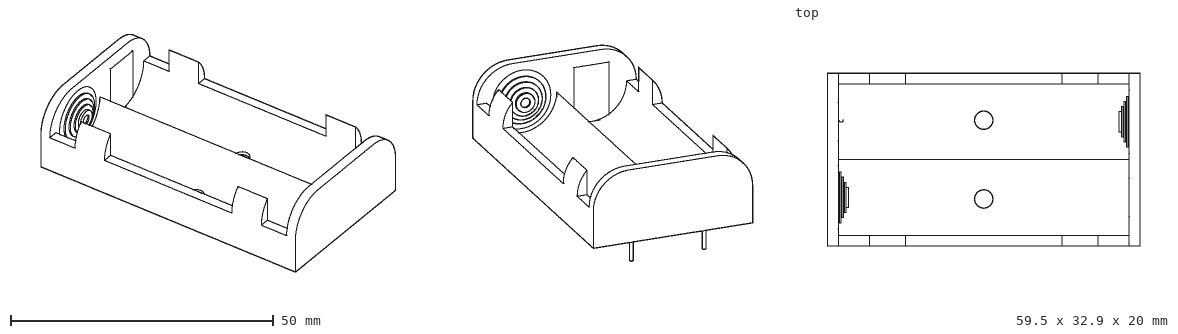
import cadquery as cq

LENGTH = 59.5
WIDTH = 32.9
HEIGHT = 15.0
FLOOR = 0.5
END_WALL = 2.1
SIDE_WALL = 2.0
INNER_HALF_LENGTH = LENGTH / 2 - END_WALL
INNER_HALF_WIDTH = WIDTH / 2 - SIDE_WALL
BAY_RADIUS = INNER_HALF_WIDTH / 2
BAY_Y = BAY_RADIUS
DECK_Z = FLOOR + BAY_RADIUS
CORNER_RADIUS = HEIGHT - DECK_Z

CLIP_LENGTH = 6.9
CLIP_X = 18.3

HOLE_DIAMETER = 3.45
HOLE_Y = 7.5
PIN_DIAMETER = 0.8
PIN_LENGTH = 5.0
PIN_SOCKET = 0.3
PIN_CHAMFER = 0.2
PIN_X = -27.15

LARGEST_DISC = 9.65
RING_STEP = LARGEST_DISC / 5
SPRING_Z = 7.3
BASE_DIAMETER = 12.0
DISC_DIAMETERS = [LARGEST_DISC - index * RING_STEP for index in range(4)]
CORE_DIAMETER = DISC_DIAMETERS[-1]
BORE_DIAMETER = RING_STEP
DISC_THICKNESS = 0.3
DISC_GAP = 0.19
DISC_PITCH = DISC_THICKNESS + DISC_GAP
CORE_LENGTH = len(DISC_DIAMETERS) * DISC_PITCH

CONTACT_WIDTH = 7.25
CONTACT_TOP = 12.15
CONTACT_HEIGHT = CONTACT_TOP - FLOOR
INSET_DEPTH = 0.5

ENDS = (-1, 1)
SIDES = (-1, 1)


def rounded_section(length, x):
    """A length of the end-wall outline, centred at x."""
    return (
        cq.Workplane("XY")
        .box(length, WIDTH, HEIGHT, centered=(True, True, False))
        .edges("|X and >Z")
        .fillet(CORNER_RADIUS)
        .translate((x, 0, 0))
    )


def make_spring(end):
    """A spring on one end wall, pointing to the middle of the holder."""

    def disc(diameter, start, thickness):
        return cq.Workplane("YZ").workplane(offset=start).circle(diameter / 2).extrude(thickness)

    spring = disc(BASE_DIAMETER, -INSET_DEPTH, INSET_DEPTH)
    spring = spring.union(disc(CORE_DIAMETER, 0, CORE_LENGTH))
    for index, diameter in enumerate(DISC_DIAMETERS):
        start = index * DISC_PITCH + DISC_GAP
        spring = spring.union(disc(diameter, start, DISC_THICKNESS))
    spring = spring.cut(disc(BORE_DIAMETER, CORE_LENGTH - DISC_THICKNESS, DISC_THICKNESS))
    if end > 0:
        spring = spring.rotate((0, 0, 0), (0, 0, 1), 180)
    return spring.translate((end * INNER_HALF_LENGTH, end * BAY_Y, SPRING_Z))


def make_contact(end):
    """A flat contact plate in the end wall of the bay beside the spring."""
    return (
        cq.Workplane("XY")
        .box(INSET_DEPTH, CONTACT_WIDTH, CONTACT_HEIGHT, centered=(True, True, False))
        .translate((end * (INNER_HALF_LENGTH + INSET_DEPTH / 2), -end * BAY_Y, FLOOR))
    )


def make_pin(y):
    """A solder pin with a chamfered tip, its top end in a floor socket."""
    return (
        cq.Workplane("XY")
        .circle(PIN_DIAMETER / 2)
        .extrude(PIN_LENGTH + PIN_SOCKET)
        .faces("<Z")
        .chamfer(PIN_CHAMFER)
        .translate((PIN_X, y, -PIN_LENGTH))
    )


def clip_pair(x):
    """Opposite clips: the end-wall outline kept only above the two side walls."""
    between_walls = cq.Workplane("XY").box(LENGTH, 2 * INNER_HALF_WIDTH, 2 * HEIGHT)
    below_deck = cq.Workplane("XY").box(LENGTH, WIDTH, 2 * DECK_Z)
    return rounded_section(CLIP_LENGTH, x).cut(between_walls).cut(below_deck)


def make_cavity():
    """The space between the end walls: open above the deck, with two round bays below."""
    cavity = (
        cq.Workplane("XY")
        .box(2 * INNER_HALF_LENGTH, WIDTH, HEIGHT, centered=(True, True, False))
        .translate((0, 0, DECK_Z))
    )
    for side in SIDES:
        bay = (
            cq.Workplane("YZ")
            .workplane(offset=-INNER_HALF_LENGTH)
            .center(side * BAY_Y, DECK_Z)
            .circle(BAY_RADIUS)
            .extrude(2 * INNER_HALF_LENGTH)
        )
        cavity = cavity.union(bay)
    return cavity


def make_housing(recessed_bodies):
    """The holder, with a matching recess for every body set into it."""
    body = rounded_section(LENGTH, 0).cut(make_cavity())
    for end in ENDS:
        body = body.union(clip_pair(end * CLIP_X))
    for side in SIDES:
        hole = cq.Workplane("XY").center(0, side * HOLE_Y).circle(HOLE_DIAMETER / 2).extrude(DECK_Z)
        body = body.cut(hole)
    for recessed in recessed_bodies:
        body = body.cut(recessed)
    return body


springs = [make_spring(end) for end in ENDS]
contacts = [make_contact(end) for end in ENDS]
pins = [make_pin(side * HOLE_Y) for side in SIDES]
housing = make_housing(springs + contacts + pins)

bodies = [housing, *springs, *contacts, *pins]
result = cq.Compound.makeCompound([body.val() for body in bodies])